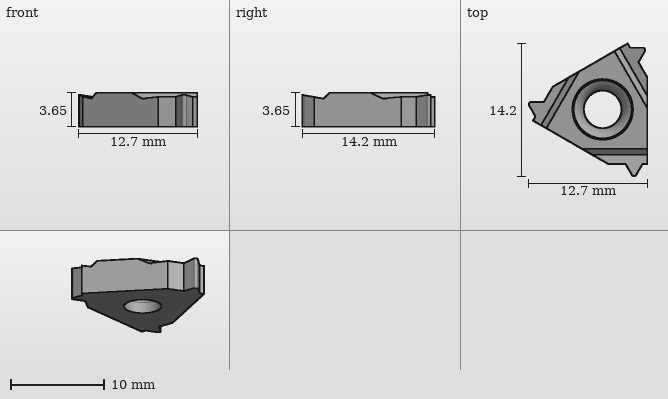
import cadquery as cq
import math

thickness = 3.65
side_distance = 4.77
corner_distance = 5.85
corner_count = 3
corner_step = 360 / corner_count

tooth_center_x = 3.35
tooth_half_base = 0.91
tooth_half_angle = math.radians(30)
tooth_tip_radius = 0.28

groove_start = 4.2
groove_bottom = 4.86
groove_floor_z = 3.03
rake_angle = math.radians(10)
cut_margin = 1.42

bore_radius = 2.0
seat_radius = 3.1
mouth_radius = 3.25
mouth_depth = 0.55
seat_depth = 1.85


def rotated(solid, index):
    """Turn a feature of the first corner to another corner."""
    return solid.rotate((0, 0, 0), (0, 0, 1), index * corner_step)


def make_triangle():
    vertex_distance = side_distance / math.cos(math.pi / corner_count)
    return (
        cq.Workplane("XY")
        .polygon(corner_count, 2 * vertex_distance)
        .extrude(thickness)
        .rotate((0, 0, 0), (0, 0, 1), corner_step / 2)
    )


def make_corner_trim():
    """Block that removes the triangle's corner beyond the truncation."""
    size = 2 * corner_distance
    return cq.Workplane("XY").box(size, size, thickness, centered=(True, False, False)).translate(
        (side_distance, -corner_distance - size, 0)
    )


def make_tooth():
    sharp_y = -corner_distance - tooth_half_base / math.tan(tooth_half_angle)
    arc_center_y = sharp_y + tooth_tip_radius / math.sin(tooth_half_angle)
    tangent_x = tooth_tip_radius * math.cos(tooth_half_angle)
    tangent_y = arc_center_y - tooth_tip_radius * math.sin(tooth_half_angle)
    root_y = -groove_bottom
    return (
        cq.Workplane("XY")
        .moveTo(tooth_center_x - tooth_half_base, root_y)
        .lineTo(tooth_center_x - tooth_half_base, -corner_distance)
        .lineTo(tooth_center_x - tangent_x, tangent_y)
        .threePointArc(
            (tooth_center_x, arc_center_y - tooth_tip_radius),
            (tooth_center_x + tangent_x, tangent_y),
        )
        .lineTo(tooth_center_x + tooth_half_base, -corner_distance)
        .lineTo(tooth_center_x + tooth_half_base, root_y)
        .close()
        .extrude(thickness)
    )


def make_groove():
    """Sloped groove wall, then a rake face rising outward over the tooth."""
    outer = corner_distance + 2 * cut_margin
    outer_z = groove_floor_z + (outer - groove_bottom) * math.tan(rake_angle)
    profile = [
        (-groove_start, thickness),
        (-groove_bottom, groove_floor_z),
        (-outer, outer_z),
        (-outer, thickness + cut_margin),
        (-groove_start, thickness + cut_margin),
    ]
    half_length = side_distance + cut_margin
    return cq.Workplane("YZ").polyline(profile).close().extrude(half_length, both=True)


def make_hole():
    seat_top_z = thickness - mouth_depth
    seat_bottom_z = seat_top_z - seat_depth
    seat_width = seat_radius - bore_radius
    arc_radius = (seat_width**2 + seat_depth**2) / (2 * seat_width)
    half_sweep = math.asin(seat_depth / arc_radius) / 2
    arc_middle = (
        bore_radius + arc_radius * (1 - math.cos(half_sweep)),
        seat_bottom_z + arc_radius * math.sin(half_sweep),
    )
    return (
        cq.Workplane("XZ")
        .lineTo(bore_radius, 0)
        .lineTo(bore_radius, seat_bottom_z)
        .threePointArc(arc_middle, (seat_radius, seat_top_z))
        .lineTo(mouth_radius, thickness)
        .lineTo(0, thickness)
        .close()
        .revolve(360, (0, 0), (0, 1))
    )


result = make_triangle()
for corner in range(corner_count):
    result = result.cut(rotated(make_corner_trim(), corner))
for corner in range(corner_count):
    result = result.union(rotated(make_tooth(), corner))
for corner in range(corner_count):
    result = result.cut(rotated(make_groove(), corner))
result = result.cut(make_hole())